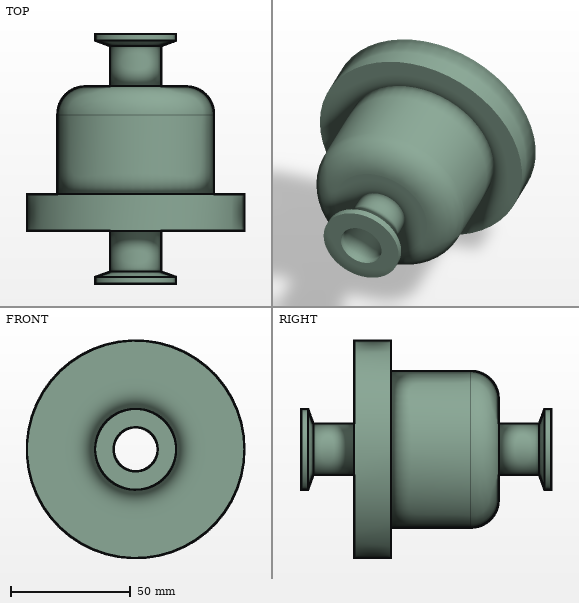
import cadquery as cq
import math

total_length = 105.0
flange_start = 22.2
flange_thickness = 15.5
body_end = 83.0

flange_diameter = 91.5
body_diameter = 66.0
ferrule_diameter = 34.0
neck_diameter = 21.7
bore_diameter = 18.4

dome_radius = 12.0
ferrule_rim = 2.85
ferrule_back_angle = 20.0

flange_end = flange_start + flange_thickness
ferrule_step = (ferrule_diameter - neck_diameter) / 2
ferrule_length = ferrule_rim + ferrule_step * math.tan(math.radians(ferrule_back_angle))


def cylinder(diameter, start, end):
    """Solid cylinder on the Y axis between two Y positions."""
    plane = cq.Workplane("XZ", origin=(0, start, 0))
    return plane.circle(diameter / 2).extrude(start - end)


def make_ferrule():
    """Clamp ferrule with a conical back, its flat face at Y = 0."""
    return (
        cq.Workplane("XY")
        .lineTo(ferrule_diameter / 2, 0)
        .lineTo(ferrule_diameter / 2, ferrule_rim)
        .lineTo(neck_diameter / 2, ferrule_length)
        .lineTo(0, ferrule_length)
        .close()
        .revolve(360, (0, 0, 0), (0, 1, 0))
    )


def make_body():
    """Housing with a rounded shoulder, on its wide flange."""
    housing = cylinder(body_diameter, flange_start, body_end)
    housing = housing.faces(">Y").edges().fillet(dome_radius)
    return housing.union(cylinder(flange_diameter, flange_start, flange_end))


front_ferrule = make_ferrule()
rear_ferrule = front_ferrule.mirror("XZ").translate((0, total_length, 0))
neck = cylinder(neck_diameter, 0, total_length)
bore = cylinder(bore_diameter, 0, total_length)

result = make_body().union(neck).union(front_ferrule).union(rear_ferrule).cut(bore)